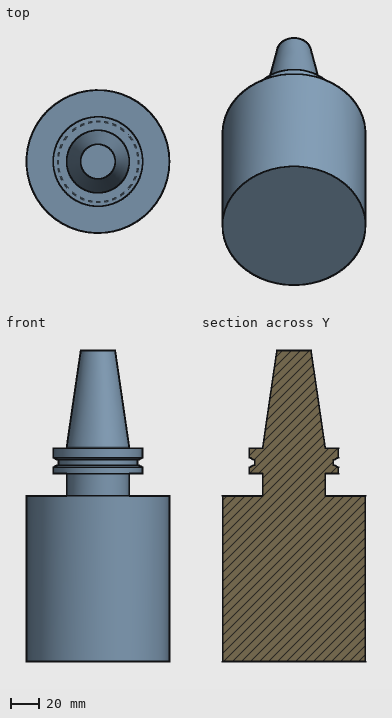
import cadquery as cq
import math

GAUGE_DIAMETER = 44.45
TAPER_LENGTH = 68.25
TAPER_RATIO = 7 / 24

COLLAR_LENGTH = 1.0

FLANGE_DIAMETER = 63.5
FLANGE_BOTTOM_DEPTH = 19.05
GROOVE_CENTER_DEPTH = 11.15
GROOVE_ROOT_DIAMETER = 56.36
GROOVE_MOUTH_WIDTH = 7.0
GROOVE_WALL_ANGLE = 30
GROOVE_WALL_INNER_DIAMETER = 58.0

NECK_DIAMETER = GAUGE_DIAMETER
BODY_DIAMETER = 101.6
BODY_TOP_DEPTH = 34.925
BODY_BOTTOM_DEPTH = 152.4


def cylinder(diameter, top_depth, bottom_depth):
    """Cylinder on the Z axis between two depths below the gauge plane."""
    return (
        cq.Workplane("XY")
        .workplane(offset=-bottom_depth)
        .circle(diameter / 2)
        .extrude(bottom_depth - top_depth)
    )


def revolve_outline(points):
    """Solid of revolution about Z from (radius, z) points."""
    return cq.Workplane("XZ").polyline(points).close().revolve(360, (0, 0), (0, 1))


def make_taper():
    """Tool taper rising from the gauge plane."""
    large_radius = GAUGE_DIAMETER / 2
    small_radius = large_radius - TAPER_LENGTH * TAPER_RATIO / 2
    return revolve_outline([
        (0, 0),
        (large_radius, 0),
        (small_radius, TAPER_LENGTH),
        (0, TAPER_LENGTH),
    ])


def make_flange():
    """Flange disc with a V groove, square at its bottom, around its rim."""
    rim_radius = FLANGE_DIAMETER / 2
    root_radius = GROOVE_ROOT_DIAMETER / 2
    mouth_half_width = GROOVE_MOUTH_WIDTH / 2
    wall_inner_radius = GROOVE_WALL_INNER_DIAMETER / 2
    wall_height = (rim_radius - wall_inner_radius) * math.tan(math.radians(GROOVE_WALL_ANGLE))
    root_half_width = mouth_half_width - wall_height
    groove_z = -GROOVE_CENTER_DEPTH
    return revolve_outline([
        (0, -COLLAR_LENGTH),
        (rim_radius, -COLLAR_LENGTH),
        (rim_radius, groove_z + mouth_half_width),
        (wall_inner_radius, groove_z + root_half_width),
        (root_radius, groove_z + root_half_width),
        (root_radius, groove_z - root_half_width),
        (wall_inner_radius, groove_z - root_half_width),
        (rim_radius, groove_z - mouth_half_width),
        (rim_radius, -FLANGE_BOTTOM_DEPTH),
        (0, -FLANGE_BOTTOM_DEPTH),
    ])


collar = cylinder(GAUGE_DIAMETER, 0, COLLAR_LENGTH)
neck = cylinder(NECK_DIAMETER, FLANGE_BOTTOM_DEPTH, BODY_TOP_DEPTH)
body = cylinder(BODY_DIAMETER, BODY_TOP_DEPTH, BODY_BOTTOM_DEPTH)

result = make_taper().union(collar).union(make_flange()).union(neck).union(body)